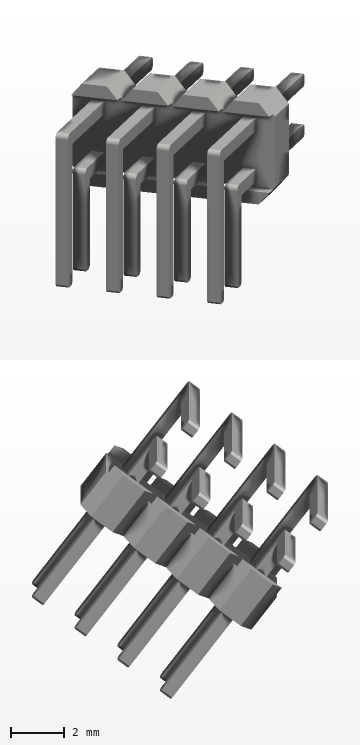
import cadquery as cq

columns = 4
pitch = 2.0
pin_width = 0.5

body_length = 8.01
body_height = 4.0
body_depth = 2.0
segment_flat = 1.0
notch_depth = 0.6
lip_height = 0.5
recess_depth = 0.4

rear_reach = 4.0
front_reach = 1.75
tail_drop = 2.8
bend_fillet = 0.2
tip_chamfer = 0.1

body_back = body_depth / 2
body_front = -body_depth / 2
column_centers = [(i - (columns - 1) / 2) * pitch for i in range(columns)]


def segment_edge(side):
    """Points along the top (side=1) or bottom (side=-1) edge, left to right."""
    flat_z = side * body_height / 2
    notch_z = side * (body_height / 2 - notch_depth)
    points = [(-body_length / 2, notch_z)]
    for x in column_centers:
        points.append((x - segment_flat / 2, flat_z))
        points.append((x + segment_flat / 2, flat_z))
        points.append((x + pitch / 2, notch_z))
    points[-1] = (body_length / 2, notch_z)
    return points


def make_body():
    """Notched block with its front face recessed between two lips."""
    outline = segment_edge(1) + segment_edge(-1)[::-1]
    block = (
        cq.Workplane("XZ", origin=(0, body_back, 0))
        .polyline(outline)
        .close()
        .extrude(body_depth)
    )
    recess = cq.Workplane("XY").box(
        body_length, recess_depth, body_height - 2 * lip_height
    ).translate((0, body_front + recess_depth / 2, 0))
    return block.cut(recess)


def make_pin(x, row_z, reach):
    """Square pin through the body at height row_z, bent down in front of it."""
    rear_y = body_back + rear_reach
    front_y = body_front - reach
    top_z = row_z + pin_width / 2
    bottom_z = -body_height / 2 - tail_drop
    across = cq.Workplane("XY").box(
        pin_width, rear_y - front_y, pin_width, centered=(True, False, False)
    ).translate((x, front_y, top_z - pin_width))
    down = cq.Workplane("XY").box(
        pin_width, pin_width, top_z - bottom_z, centered=(True, False, False)
    ).translate((x, front_y, bottom_z))
    pin = across.union(down)
    pin = pin.faces(">Y").edges("|X").chamfer(tip_chamfer)
    pin = pin.faces("<Z").edges("|X").chamfer(tip_chamfer)
    return pin.faces("<Y").edges("|X and >Z").fillet(bend_fillet)


result = make_body()
for column_x in column_centers:
    result = result.union(make_pin(column_x, -pitch / 2, front_reach))
    result = result.union(make_pin(column_x, pitch / 2, front_reach + pitch))